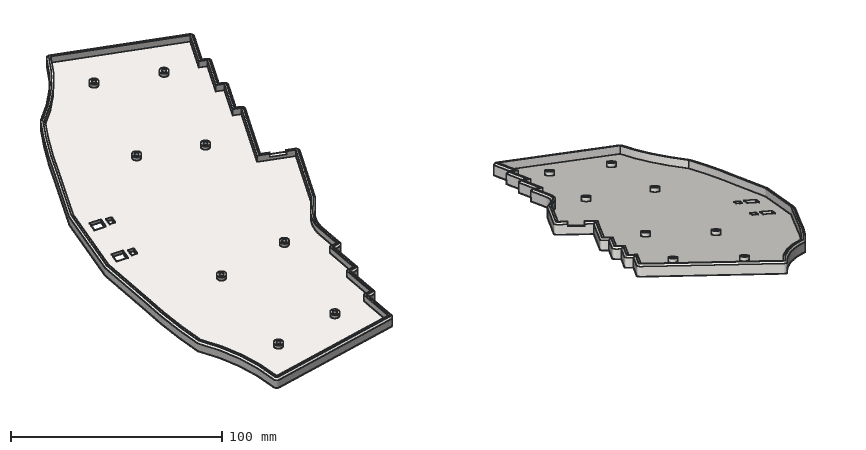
import cadquery as cq
import math

TRAY_HEIGHT = 6.0
FLOOR_THICKNESS = 2.0
BOSS_HEIGHT = 2.0

WALL = 2.0
RIM_CHAMFER = 1.0

SPLAY = math.radians(13)
SIDE_CORNER_X = 123.7
SIDE_CORNER_Y = -19.0
SIDE_LENGTH = 67.7
FIRST_TOOTH_LENGTH = 18.5
TOOTH_LENGTH = 18.0
TOOTH_STEP = TOOTH_LENGTH * math.tan(SPLAY)
TOOTH_COUNT = 3
LAST_ROW_LENGTH = 34.2
BACK_Y = 57.3
BUMP_LENGTH = 33.5
FALL_ANGLE = math.radians(27)
DIP_RADIUS = 18.9
FRONT_Y = -57.3
FRONT_HALF_WIDTH = 19.4
FRONT_ARC_END = (48.3, -50.8)
FRONT_ARC_MID = (66.0, -46.8)
FRONT_KNEE = (85.3, -40.7)
SIDE_ARC_MID = (105.5, -26.5)

NOTCH_LENGTH = 8.0
NOTCH_DEPTH = 2.0
NOTCH_FROM_CORNER = 10.3

BOSS_DIAMETER = 4.5
BOSS_HOLE_DIAMETER = 2.2
BOSS_CENTERS = [
    (-93.5, 26.0), (-101.0, -7.3), (-39.2, 21.6), (-46.5, -11.0),
    (93.5, 26.0), (101.0, -7.3), (38.2, 26.0), (46.5, -11.0),
]

OPENING_X = 12.0
SMALL_OPENING = (4.0, 3.0)
SMALL_OPENING_Y = -41.2
LARGE_OPENING = (5.5, 6.0)
LARGE_OPENING_Y = -48.0


def mirrored(point):
    return (-point[0], point[1])


def along(point, distance):
    """Move to the right and down along a left-half key row."""
    return (point[0] + distance * math.cos(SPLAY), point[1] - distance * math.sin(SPLAY))


def outward(point, distance):
    """Move up along a left-half key column, parallel to the left side."""
    return (point[0] + distance * math.sin(SPLAY), point[1] + distance * math.cos(SPLAY))


def left_teeth():
    """Corners from the left side corner to the start of the last row."""
    points = [(-SIDE_CORNER_X, SIDE_CORNER_Y)]
    points.append(outward(points[-1], SIDE_LENGTH))
    for length in [FIRST_TOOTH_LENGTH] + [TOOTH_LENGTH] * (TOOTH_COUNT - 1):
        points.append(along(points[-1], length))
        points.append(outward(points[-1], TOOTH_STEP))
    return points


def dip_ends(fall_start, row_end):
    """Ends of the arc that blends the fall from the bump into the first row of the right half."""
    run = row_end[0] - fall_start[0]
    drop = fall_start[1] - row_end[1]
    corner_run = (drop + run * math.tan(SPLAY)) / (math.tan(FALL_ANGLE) + math.tan(SPLAY))
    corner_x = fall_start[0] + corner_run
    corner_y = fall_start[1] - corner_run * math.tan(FALL_ANGLE)
    tangent = DIP_RADIUS * math.tan((FALL_ANGLE + SPLAY) / 2)
    start = (corner_x - tangent * math.cos(FALL_ANGLE), corner_y + tangent * math.sin(FALL_ANGLE))
    end = (corner_x + tangent * math.cos(SPLAY), corner_y + tangent * math.sin(SPLAY))
    return start, end


def floor_outline():
    left = left_teeth()
    right = [mirrored(point) for point in reversed(left)]
    bump_foot = along(left[-1], LAST_ROW_LENGTH)
    bump = outward(bump_foot, (BACK_Y - bump_foot[1]) / math.cos(SPLAY))
    bump_end = along(bump, BUMP_LENGTH)
    dip_start, dip_end = dip_ends(bump_end, right[0])
    return (
        cq.Workplane("XY")
        .polyline(left + [bump_foot, bump, bump_end, dip_start])
        .tangentArcPoint(dip_end, relative=False)
        .polyline(right, includeCurrent=True)
        .threePointArc(SIDE_ARC_MID, FRONT_KNEE)
        .threePointArc(FRONT_ARC_MID, FRONT_ARC_END)
        .lineTo(FRONT_HALF_WIDTH, FRONT_Y)
        .lineTo(-FRONT_HALF_WIDTH, FRONT_Y)
        .lineTo(*mirrored(FRONT_ARC_END))
        .threePointArc(mirrored(FRONT_ARC_MID), mirrored(FRONT_KNEE))
        .threePointArc(mirrored(SIDE_ARC_MID), left[0])
        .close()
    )


def tray():
    """Floor with a raised rim; the rim is the floor outline offset outward, so outer corners are round."""
    body = floor_outline().offset2D(WALL, "arc").extrude(TRAY_HEIGHT)
    body = body.faces(">Z").edges().chamfer(RIM_CHAMFER)
    pocket = floor_outline().extrude(TRAY_HEIGHT).translate((0, 0, FLOOR_THICKNESS))
    return body.cut(pocket)


def cable_notch():
    bump_foot = along(left_teeth()[-1], LAST_ROW_LENGTH)
    cut_width = 2 * WALL
    wall_middle = along(outward(bump_foot, NOTCH_FROM_CORNER), -WALL / 2)
    return (
        cq.Workplane("XY", origin=(*wall_middle, TRAY_HEIGHT - NOTCH_DEPTH))
        .transformed(rotate=(0, 0, -math.degrees(SPLAY)))
        .rect(cut_width, NOTCH_LENGTH)
        .extrude(NOTCH_DEPTH)
    )


def bosses():
    return (
        cq.Workplane("XY", origin=(0, 0, FLOOR_THICKNESS))
        .pushPoints(BOSS_CENTERS)
        .circle(BOSS_DIAMETER / 2)
        .circle(BOSS_HOLE_DIAMETER / 2)
        .extrude(BOSS_HEIGHT)
    )


def opening_pair(size, y):
    return (
        cq.Workplane("XY")
        .pushPoints([(-OPENING_X, y), (OPENING_X, y)])
        .rect(*size)
        .extrude(FLOOR_THICKNESS)
    )


result = (
    tray()
    .cut(cable_notch())
    .union(bosses())
    .cut(opening_pair(SMALL_OPENING, SMALL_OPENING_Y))
    .cut(opening_pair(LARGE_OPENING, LARGE_OPENING_Y))
)